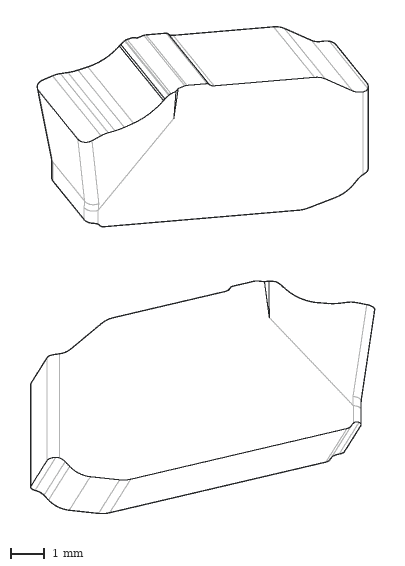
import math

import cadquery as cq

length = 10.01
height = 7.0
body_width = 2.5
head_width = 3.0
corner_radius = 0.3

body_slope = 20
bevel_angle = 45
front_relief = 7
rake_land_angle = 7
rake_rise_angle = 12
step_angle = 60

rear_top = 3.89
rear_bottom = 0.52
rear_top_shelf = 0.43
rear_bottom_shelf = 0.36
rear_top_radius = 0.8
rear_bottom_radius = 0.4
underside_radius = 0.9

clamp_radius = 1.0
upper_clamp_point = (6.26, 5.94)
underside_front = 7.68

crest_rear = 3.66
crest_front = 3.07
crest_bevel_angle = 28
crest_rear_radius = 0.2
crest_front_radius = 0.13
crest_bevel_radius = 0.75
crest_step_start = 4.51
crest_step_root_radius = 0.33
crest_step_top_radius = 0.13

edge_height = 6.455
groove_top = 3.0
groove_bottom = 6.435
groove_rear_radius = 1.55
groove_front = 1.3
groove_front_radius = 1.6
land_radius = 0.78

foot_top = 3.55
foot_bottom = 2.76
foot_shelf = 0.27
foot_root_radius = 0.27
foot_edge_radius = 0.27
front_foot_y = (edge_height - foot_top) * math.tan(math.radians(front_relief))

flare_rear_corner = (3.25, 5.84)
flare_rear_top = 3.40
flare_side_angle = 45
flare_rear_growth = 0.65


def meet(first, first_angle, second, second_angle):
    """Crossing of two lines; a positive angle rises toward the front (-Y)."""
    first_slope = -math.tan(math.radians(first_angle))
    second_slope = -math.tan(math.radians(second_angle))
    rise = second[1] - first[1] + first_slope * first[0] - second_slope * second[0]
    y = rise / (first_slope - second_slope)
    return y, first[1] + first_slope * (y - first[0])


def toward(start, target, distance):
    """Point at the given distance from start along the line to target."""
    ratio = distance / math.dist(start, target)
    return tuple(s + ratio * (t - s) for s, t in zip(start, target))


def rounded_outline(corners):
    """Closed YZ outline whose corners (point, radius) are rounded by tangent arcs."""
    wire = None
    for index, (point, radius) in enumerate(corners):
        before = corners[index - 1][0]
        after = corners[(index + 1) % len(corners)][0]
        if radius == 0:
            if wire is None:
                wire = cq.Workplane("YZ").moveTo(*point)
            else:
                wire = wire.lineTo(*point)
            continue
        unit_before = toward(point, before, 1)
        unit_after = toward(point, after, 1)
        half_angle = math.asin(math.dist(unit_before, unit_after) / 2)
        tangent_length = radius / math.tan(half_angle)
        middle = tuple((b + a) / 2 for b, a in zip(unit_before, unit_after))
        arc_depth = radius / math.sin(half_angle) - radius
        start = toward(point, before, tangent_length)
        end = toward(point, after, tangent_length)
        wire = wire.lineTo(*start).threePointArc(toward(point, middle, arc_depth), end)
    return wire.close()


def side_outline():
    rear_shelf = (length - rear_top_shelf, rear_top)
    rear_under_shelf = (length - rear_bottom_shelf, rear_bottom)
    crest_rear_corner = (crest_rear, height)
    crest_front_corner = (crest_front, height)
    groove_top_corner = (groove_top, height)
    groove_front_corner = (groove_front, groove_bottom)
    groove_floor = (0, groove_bottom)
    cutting_edge = (0, edge_height)
    groove_wall_corner = meet(crest_front_corner, -crest_bevel_angle, groove_top_corner, -bevel_angle)
    land_corner = meet(groove_front_corner, rake_rise_angle, cutting_edge, -rake_land_angle)
    step_root_drop = (crest_step_start - upper_clamp_point[0]) * math.tan(math.radians(body_slope))
    step_root = (crest_step_start, upper_clamp_point[1] - step_root_drop)
    step_top = meet(step_root, step_angle, crest_rear_corner, body_slope)
    foot_root = (front_foot_y + foot_shelf, foot_bottom)
    underside_corner = (underside_front, 0)
    return rounded_outline([
        ((length, rear_bottom), 0),
        ((length, rear_top), 0),
        (rear_shelf, rear_top_radius),
        (meet(rear_shelf, bevel_angle, upper_clamp_point, body_slope), clamp_radius),
        (step_root, crest_step_root_radius),
        (step_top, crest_step_top_radius),
        (crest_rear_corner, crest_rear_radius),
        (crest_front_corner, crest_front_radius),
        (groove_wall_corner, crest_bevel_radius),
        (meet(groove_top_corner, -bevel_angle, groove_floor, 0), groove_rear_radius),
        (groove_front_corner, groove_front_radius),
        (land_corner, land_radius),
        (cutting_edge, 0),
        ((front_foot_y, foot_top), 0),
        ((front_foot_y, foot_bottom), 0),
        (foot_root, foot_root_radius),
        (meet(foot_root, step_angle, underside_corner, body_slope), foot_edge_radius),
        (underside_corner, clamp_radius),
        (meet(rear_under_shelf, -bevel_angle, (0, 0), 0), underside_radius),
        (rear_under_shelf, rear_bottom_radius),
    ])


def slab(width):
    return side_outline().extrude(width / 2, both=True)


def flare_wedge(origin, line_direction, outward, growth):
    """Long prism, body_width wide at a line in the YZ plane, widening away from it."""
    reach = length
    near = body_width / 2
    far = near + growth * reach
    plane = cq.Plane(origin=(0, *origin), xDir=(1, 0, 0), normal=(0, *line_direction))
    side = 1 if plane.yDir.y * outward[0] + plane.yDir.z * outward[1] > 0 else -1
    outline = [(-near, 0), (near, 0), (far, side * reach), (-far, side * reach)]
    return cq.Workplane(plane).polyline(outline).close().extrude(reach, both=True)


def head():
    side_rise = math.radians(flare_side_angle)
    side_line = (math.cos(side_rise), math.sin(side_rise))
    side_outward = (-side_line[1], side_line[0])
    edge_offset = (corner_radius - flare_rear_corner[0], edge_height - flare_rear_corner[1])
    edge_distance = edge_offset[0] * side_outward[0] + edge_offset[1] * side_outward[1]
    side_growth = (head_width - body_width) / 2 / edge_distance
    side_wedge = flare_wedge(flare_rear_corner, side_line, side_outward, side_growth)

    rear_line = (flare_rear_top - flare_rear_corner[0], height - flare_rear_corner[1])
    rear_outward = (-rear_line[1], rear_line[0])
    rear_wedge = flare_wedge(flare_rear_corner, rear_line, rear_outward, flare_rear_growth)
    return slab(head_width + corner_radius).intersect(side_wedge).intersect(rear_wedge)


def round_rear(part):
    return part.faces(">Y").edges("|Z").fillet(corner_radius)


def round_front(part):
    """Round the upright front corners, along both the foot and the relieved front face."""
    near_front = cq.selectors.BoxSelector(
        (-head_width, -corner_radius, foot_bottom),
        (head_width, front_foot_y + corner_radius / 2, edge_height),
    )
    return part.edges(near_front).edges("not #Z").edges("not |X").fillet(corner_radius)


body = round_front(round_rear(slab(body_width)))
result = body.union(round_front(head()))